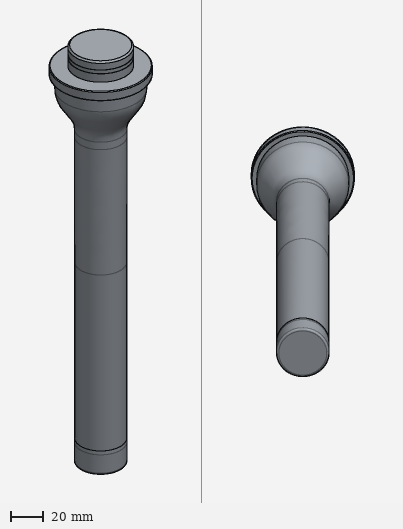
import cadquery as cq

total_height = 294.0

head_diameter = 32.0
head_height = 17.0
head_shoulder_height = 2.5
head_shoulder_step = 0.15
head_edge_radius = 1.5

shank_diameter = 31.8
taper_bottom_z = 141.0
collar_diameter = 32.0
collar_bottom_z = 229.5
collar_top_z = 235.0

bell_diameter = 56.0
bell_foot_z = 240.0
bell_foot_diameter = 33.2
bell_waist_z = 253.0
bell_waist_diameter = 49.5
bell_rim_z = 263.5

flange_diameter = 62.5
flange_bottom_z = 272.8
flange_top_z = 279.5
flange_chamfer = 0.5
neck_diameter = 40.0
neck_chamfer = 1.2
groove_diameter = 39.7
groove_bottom_z = 285.5
groove_top_z = 288.0


def make_cutting_head():
    """Short round head with a sloped shoulder and a rounded lower edge."""
    radius = head_diameter / 2
    shoulder_z = head_height - head_shoulder_height
    return (
        cq.Workplane("XZ")
        .moveTo(0, 0)
        .lineTo(radius - head_edge_radius, 0)
        .tangentArcPoint((radius, head_edge_radius), relative=False)
        .lineTo(radius, shoulder_z)
        .lineTo(radius - head_shoulder_step, head_height)
        .lineTo(0, head_height)
        .close()
        .revolve(360, (0, 0, 0), (0, 1, 0))
    )


def make_shank_and_bell():
    """Tapered shank flowing through a smoothly curved bell up to the flange."""
    rim_radius = bell_diameter / 2
    collar_radius = collar_diameter / 2
    bell_curve = [
        (bell_foot_diameter / 2, bell_foot_z),
        (bell_waist_diameter / 2, bell_waist_z),
        (rim_radius, bell_rim_z),
    ]
    return (
        cq.Workplane("XZ")
        .moveTo(0, head_height)
        .lineTo(shank_diameter / 2, head_height)
        .lineTo(shank_diameter / 2, taper_bottom_z)
        .lineTo(collar_radius, collar_bottom_z)
        .lineTo(collar_radius, collar_top_z)
        .spline(bell_curve, includeCurrent=True)
        .lineTo(rim_radius, flange_bottom_z)
        .lineTo(0, flange_bottom_z)
        .close()
        .revolve(360, (0, 0, 0), (0, 1, 0))
    )


def make_flange():
    """Disc with both rims chamfered."""
    return (
        cq.Workplane("XY", origin=(0, 0, flange_bottom_z))
        .circle(flange_diameter / 2)
        .extrude(flange_top_z - flange_bottom_z)
        .edges()
        .chamfer(flange_chamfer)
    )


def make_neck():
    """Stub above the flange with a chamfered top and one shallow groove."""
    neck = (
        cq.Workplane("XY", origin=(0, 0, flange_top_z))
        .circle(neck_diameter / 2)
        .extrude(total_height - flange_top_z)
        .faces(">Z")
        .edges()
        .chamfer(neck_chamfer)
    )
    groove = (
        cq.Workplane("XY", origin=(0, 0, groove_bottom_z))
        .circle(neck_diameter / 2)
        .circle(groove_diameter / 2)
        .extrude(groove_top_z - groove_bottom_z)
    )
    return neck.cut(groove)


def make_holder():
    """Shank, bell, flange and neck as one solid."""
    return make_shank_and_bell().union(make_flange()).union(make_neck())


cutting_head = make_cutting_head()
holder = make_holder()

result = cq.Compound.makeCompound([cutting_head.val(), *holder.solids().vals()])